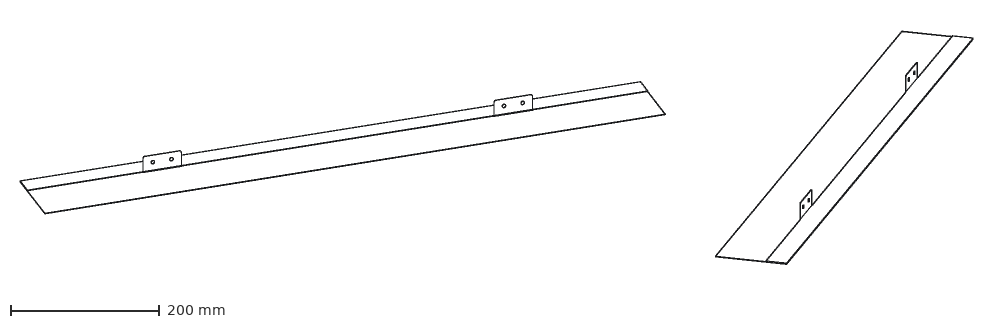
import cadquery as cq

length = 885.0
width = 100.0
sheet = 1.0

lip_width = 29.0

overall_height = 25.0
tab_length = 55.0
tab_center_y = 250.5
tab_corner_radius = 3.0

hole_diameter = 5.0
hole_spacing = 26.5
hole_height = 14.0


def make_base():
    """Flat sheet with a doubled strip along its -X edge."""
    plate = cq.Workplane("XY").box(width, length, sheet, centered=(False, True, False))
    lip = cq.Workplane("XY").box(lip_width, length, 2 * sheet, centered=(False, True, False))
    return plate.union(lip)


def make_tab(center_y):
    """Upright tab with rounded top corners and two holes along X."""
    tab = (
        cq.Workplane("XY")
        .box(sheet, tab_length, overall_height, centered=(False, True, False))
        .edges("|X and >Z")
        .fillet(tab_corner_radius)
    )
    holes = (
        cq.Workplane("YZ")
        .pushPoints([(side * hole_spacing / 2, hole_height) for side in (-1, 1)])
        .circle(hole_diameter / 2)
        .extrude(sheet)
    )
    return tab.cut(holes).translate((lip_width, center_y, 0))


result = make_base()
for tab_side in (-1, 1):
    result = result.union(make_tab(tab_side * tab_center_y))